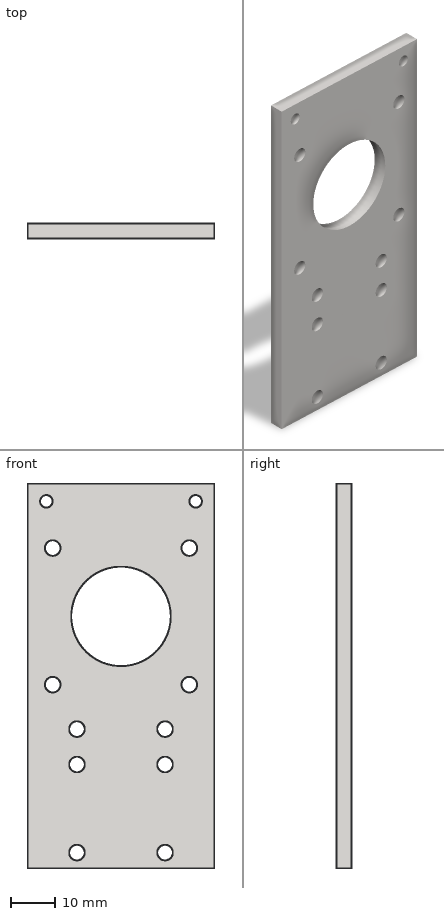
import cadquery as cq

width = 42.3
thickness = 3.5
height = 87.3

bore_diameter = 22.5
bore_height = 57.2
bore_screw_spacing = 31.0

screw_diameter = 3.5
corner_diameter = 2.8
corner_spacing = 33.9
corner_top_margin = 4.0

lower_spacing = 20.0
lower_bottom_margin = 3.6
lower_row_gap = 20.0
upper_row_gap = 8.0


def hole_pair(spacing, z, diameter):
    """Two through-hole cutters placed symmetrically about the plate's centre line."""
    return (
        cq.Workplane("XZ")
        .pushPoints([(-spacing / 2, z), (spacing / 2, z)])
        .circle(diameter / 2)
        .extrude(-thickness)
    )


plate = cq.Workplane("XY").box(width, thickness, height, centered=(True, False, False))
bore = cq.Workplane("XZ").center(0, bore_height).circle(bore_diameter / 2).extrude(-thickness)
result = plate.cut(bore)

result = result.cut(hole_pair(corner_spacing, height - corner_top_margin, corner_diameter))

for side in (-1, 1):
    z = bore_height + side * bore_screw_spacing / 2
    result = result.cut(hole_pair(bore_screw_spacing, z, screw_diameter))

middle_row = lower_bottom_margin + lower_row_gap
for z in (lower_bottom_margin, middle_row, middle_row + upper_row_gap):
    result = result.cut(hole_pair(lower_spacing, z, screw_diameter))